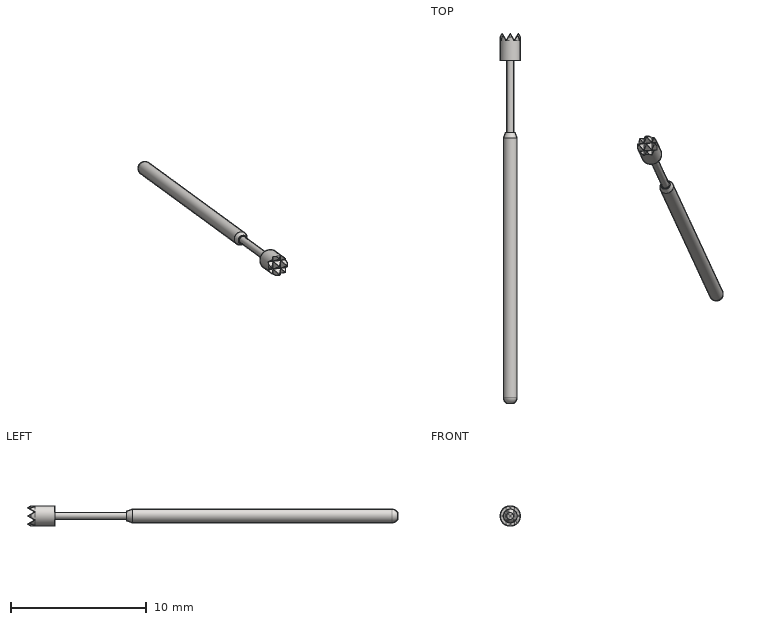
import cadquery as cq
import math

total_length = 27.3
head_diameter = 1.5
head_length = 2.0
plunger_diameter = 0.55
barrel_diameter = 1.02
barrel_length = 20.0
crimp_length = 0.42
crimp_diameter = 0.72
tip_flat_diameter = 0.5

teeth_across = 3
tooth_pitch = 0.6
groove_angle = 60.0

head_radius = head_diameter / 2
plunger_radius = plunger_diameter / 2
barrel_radius = barrel_diameter / 2
crimp_radius = crimp_diameter / 2
tip_flat_radius = tip_flat_diameter / 2

tip_y = -total_length / 2
barrel_end_y = tip_y + barrel_length
head_end_y = total_length / 2
head_back_y = head_end_y - head_length

groove_half_width = tooth_pitch / 2
groove_depth = groove_half_width / math.tan(math.radians(groove_angle / 2))


def make_turned_body():
    """Barrel, plunger and plain head revolved as one profile about the Y axis."""
    dome_length = math.sqrt(barrel_radius**2 - tip_flat_radius**2)
    dome_centre_y = tip_y + dome_length
    mid_angle = math.atan2(dome_length, tip_flat_radius) / 2
    dome_mid = (
        barrel_radius * math.cos(mid_angle),
        dome_centre_y - barrel_radius * math.sin(mid_angle),
    )
    profile = (
        cq.Workplane("XY")
        .moveTo(0, tip_y)
        .lineTo(tip_flat_radius, tip_y)
        .threePointArc(dome_mid, (barrel_radius, dome_centre_y))
        .lineTo(barrel_radius, barrel_end_y - crimp_length)
        .lineTo(crimp_radius, barrel_end_y)
        .lineTo(plunger_radius, barrel_end_y)
        .lineTo(plunger_radius, head_back_y)
        .lineTo(head_radius, head_back_y)
        .lineTo(head_radius, head_end_y)
        .lineTo(0, head_end_y)
        .close()
    )
    return profile.revolve(360, (0, 0, 0), (0, 1, 0))


def make_groove(offset):
    """V groove running along Z across the head end, its root at X = offset."""
    return (
        cq.Workplane("XY")
        .moveTo(offset - groove_half_width, head_end_y)
        .lineTo(offset, head_end_y - groove_depth)
        .lineTo(offset + groove_half_width, head_end_y)
        .close()
        .extrude(head_diameter, both=True)
    )


def cut_teeth(body):
    """Cross-cut the head end with V grooves in two directions to leave pointed teeth."""
    groove_count = teeth_across + 1
    for index in range(groove_count):
        groove = make_groove((index - teeth_across / 2) * tooth_pitch)
        body = body.cut(groove)
        body = body.cut(groove.rotate((0, 0, 0), (0, 1, 0), 90))
    return body


result = cut_teeth(make_turned_body())